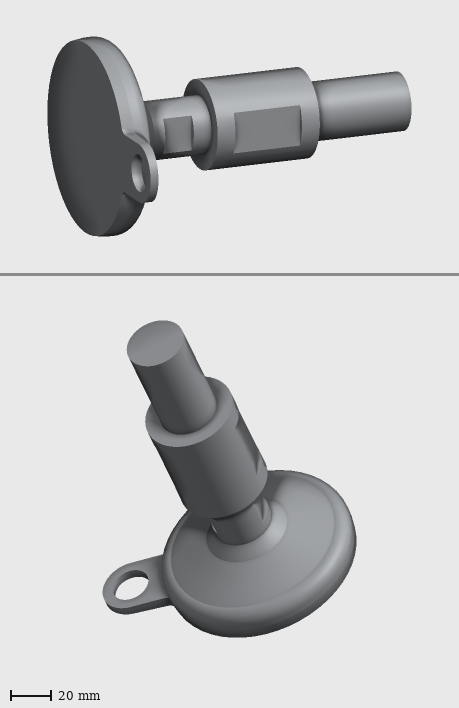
import cadquery as cq
import math

TOTAL_LENGTH = 170.0

FOOT_RADIUS = 50.0
SOLE_RADIUS = 49.1
RIM_START = 6.0
RIM_END = 9.4
SHOULDER_RADIUS = 7.0
NECK_RADIUS = 21.2
NECK_HEIGHT = 25.3
FOOT_TOP = 31.0

LUG_RADIUS = 15.0
LUG_CENTRE = 68.0
LUG_HOLE_RADIUS = 9.5
LUG_TIP_HEIGHT = 4.2
LUG_CORNER_RADIUS = 4.5

SPINDLE_RADIUS = 15.0
SPINDLE_FLAT = 11.9
SPINDLE_FLAT_START = 36.7
SPINDLE_FLAT_END = 52.2

SLEEVE_RADIUS = 23.0
SLEEVE_START = 61.7
SLEEVE_END = 117.0
SLEEVE_FLAT = 20.4
SLEEVE_FLAT_START = 71.4
SLEEVE_FLAT_END = 107.3


def cylinder(radius, start, end):
    """Cylinder on the Y axis between two heights above the sole."""
    profile = cq.Workplane("XY").moveTo(0, start).lineTo(radius, start)
    profile = profile.lineTo(radius, end).lineTo(0, end).close()
    return profile.revolve(360, (0, 0), (0, 1))


def cut_flats(body, radius, flat, start, end):
    """Cut two wrench flats, on -X and +X, at a distance of `flat` from the axis."""
    depth = radius - flat
    for side in (-1, 1):
        cutter = cq.Workplane("XY").box(2 * depth, end - start, 2 * radius)
        body = body.cut(cutter.translate((side * (flat + depth), (start + end) / 2, 0)))
    return body


def make_disc():
    """Foot disc: tapered edge, cylindrical rim, quarter-round shoulder, cone and steeper neck."""
    shoulder_x = FOOT_RADIUS - SHOULDER_RADIUS
    shoulder_y = RIM_END + SHOULDER_RADIUS
    arc_offset = SHOULDER_RADIUS * math.sqrt(0.5)
    arc_middle = (shoulder_x + arc_offset, RIM_END + arc_offset)
    profile = (
        cq.Workplane("XY")
        .lineTo(SOLE_RADIUS, 0)
        .lineTo(FOOT_RADIUS, RIM_START)
        .lineTo(FOOT_RADIUS, RIM_END)
        .threePointArc(arc_middle, (shoulder_x, shoulder_y))
        .lineTo(NECK_RADIUS, NECK_HEIGHT)
        .lineTo(SPINDLE_RADIUS, FOOT_TOP)
        .lineTo(0, FOOT_TOP)
        .close()
    )
    return profile.revolve(360, (0, 0), (0, 1))


def make_lug():
    """Lug on +X: rounded tip, filleted root corners, and a top face sloping down to the tip."""
    corner_z = LUG_RADIUS + LUG_CORNER_RADIUS
    corner_x = math.sqrt((SOLE_RADIUS + LUG_CORNER_RADIUS) ** 2 - corner_z**2)
    root_scale = SOLE_RADIUS / (SOLE_RADIUS + LUG_CORNER_RADIUS)
    root_x = corner_x * root_scale
    root_z = corner_z * root_scale
    mid_angle = (math.atan2(-corner_z, -corner_x) - math.pi / 2) / 2
    mid_x = corner_x + LUG_CORNER_RADIUS * math.cos(mid_angle)
    mid_z = corner_z + LUG_CORNER_RADIUS * math.sin(mid_angle)
    outline = (
        cq.Workplane("XZ")
        .lineTo(root_x, -root_z)
        .threePointArc((mid_x, -mid_z), (corner_x, -LUG_RADIUS))
        .lineTo(LUG_CENTRE, -LUG_RADIUS)
        .threePointArc((LUG_CENTRE + LUG_RADIUS, 0), (LUG_CENTRE, LUG_RADIUS))
        .lineTo(corner_x, LUG_RADIUS)
        .threePointArc((mid_x, mid_z), (root_x, root_z))
        .close()
    )
    plate = outline.extrude(-RIM_START)
    tip_x = LUG_CENTRE + LUG_RADIUS
    wedge = (
        cq.Workplane("XY")
        .polyline([(0, 0), (tip_x, 0), (tip_x, LUG_TIP_HEIGHT), (FOOT_RADIUS, RIM_START), (0, RIM_START)])
        .close()
        .extrude(2 * root_z, both=True)
    )
    return plate.intersect(wedge)


def make_foot():
    """Foot disc, lug and spindle in one solid."""
    spindle = cylinder(SPINDLE_RADIUS, FOOT_TOP, TOTAL_LENGTH)
    spindle = cut_flats(spindle, SPINDLE_RADIUS, SPINDLE_FLAT, SPINDLE_FLAT_START, SPINDLE_FLAT_END)
    hole = cylinder(LUG_HOLE_RADIUS, 0, RIM_START).translate((LUG_CENTRE, 0, 0))
    return make_disc().union(make_lug()).union(spindle).cut(hole)


def make_sleeve():
    """Sleeve with wrench flats, bored to fit the spindle."""
    sleeve = cylinder(SLEEVE_RADIUS, SLEEVE_START, SLEEVE_END)
    sleeve = cut_flats(sleeve, SLEEVE_RADIUS, SLEEVE_FLAT, SLEEVE_FLAT_START, SLEEVE_FLAT_END)
    return sleeve.cut(cylinder(SPINDLE_RADIUS, SLEEVE_START, SLEEVE_END))


foot = make_foot()
sleeve = make_sleeve()

result = cq.Compound.makeCompound([foot.val(), sleeve.val()])